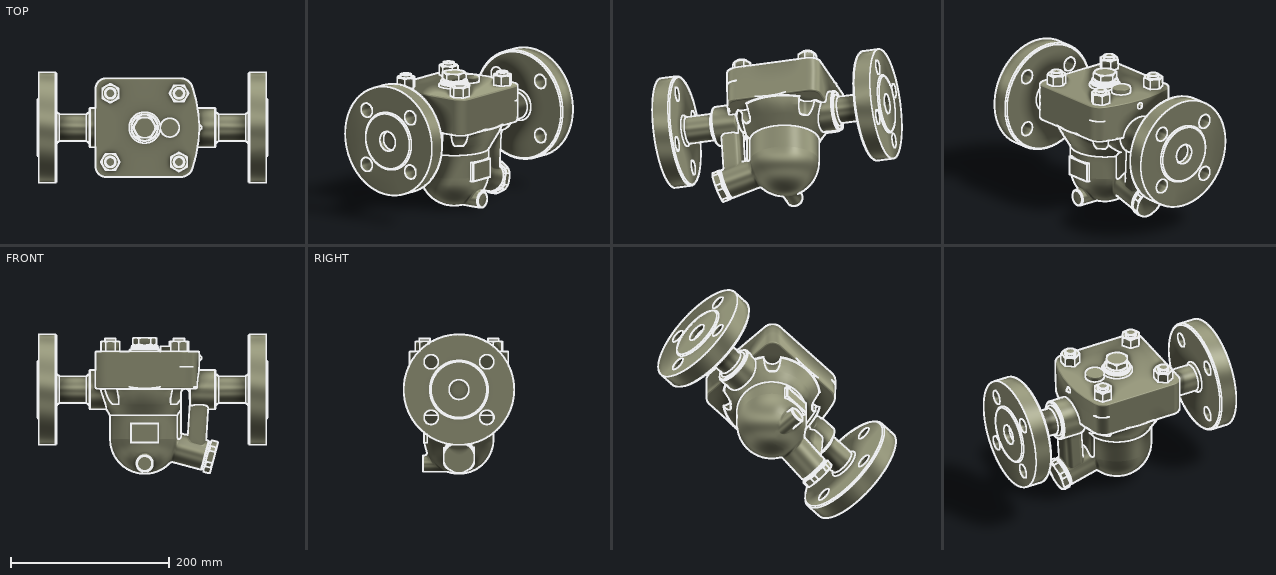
import cadquery as cq
import math

BODY_X = -10.0

HALF_LENGTH = 145.5
FLANGE_D = 140.0
FLANGE_BACK_X = 121.0
FLANGE_CHAMFER = 1.7
RAISED_FACE_H = 1.7
RAISED_FACE_TOP_D = 70.5
RAISED_FACE_BASE_D = 74.0
PIPE_D = 34.0
WELD_D = 40.0
WELD_LENGTH = 3.5
BOSS_D = 50.0
BOSS_END_X = 80.0
BOSS_CHAMFER = 1.5
BORE_D = 25.0
BORE_DEPTH = 7.5
BOLT_HOLE_D = 18.0
BOLT_CIRCLE_D = 99.2
LEFT_BOSS_INNER_X = -40.7
RIGHT_BOSS_INNER_X = 47.7
BOSS_INNER_R = 3.0

BLOCK_LEFT_X = -72.2
BLOCK_RIGHT_X = 59.0
BLOCK_WIDTH = 125.0
BLOCK_BOTTOM_Z = 1.2
PARTING_Z = 29.0
BLOCK_TOP_Z = 48.3
CROWN_R = 160.0
CROWN_TAPER = 1.0
LEFT_CORNER_R = 14.0
RIGHT_CORNER_R = 16.5
BLOCK_TOP_EDGE_R = 1.7
BLOCK_BOTTOM_EDGE_R = 2.3

STUD_OFFSET = 43.5
STUD_D = 14.0
STUD_TIP_D = 12.0
STUD_TOP_Z = 65.0
NUT_AF = 21.0
NUT_TOP_Z = 61.0
CLEARANCE_R = 10.8

PLUG_AF = 26.2
PLUG_TOP_Z = 65.8
PLUG_BOTTOM_Z = 56.2
PLUG_NECK_D = 25.0
COLLAR_D = 33.0
COLLAR_TOP_Z = 55.3
GASKET_D = 34.0
GASKET_TOP_Z = 53.5
GASKET_H = 1.2
SEAT_D = 34.0
SEAT_TOP_Z = 51.2
SEAT_FILLET_R = 2.5

PAD_OFFSET = 31.7
PAD_D = 24.0
PAD_TOP_Z = 55.0
PAD_EDGE_R = 1.5
NUB_Z = 40.2
NUB_D = 8.5
NUB_TIP_D = 1.7
NUB_TIP_X = 62.3
NUB_CONE_LENGTH = 3.5
NUB_ROOT_LENGTH = 3.0

BOWL_R = 44.0
BOWL_CENTER_Z = -62.5
SHOULDER_BOTTOM_Z = -32.5
NECK_SPHERE_R = 63.5
NECK_SPHERE_Z = 17.5
NECK_BOTTOM_Z = -18.5
NECK_TOP_Z = 0.5
LIP_R = 66.0
LIP_TOP_Z = 3.8
LIP_INSET = 2.3

LABEL_WIDTH = 35.0
LABEL_TOP_Z = -42.8
LABEL_HEIGHT = 24.5
LABEL_FACE_Y = -44.5
LABEL_EDGE = 0.5
DRAIN_D = 21.0
DRAIN_Z = -93.5
DRAIN_FACE_Y = -46.0
DRAIN_CHAMFER = 1.2
DRAIN_BLEND_R = 3.0

BRANCH_ANGLE = 15.0
BRANCH_D = 38.0
BRANCH_LENGTH = 79.5
BRANCH_CHAMFER = 1.0
BRANCH_BLEND_R = 4.0
CAP_NECK_D = 34.0
CAP_START = 81.8
CAP_END = 90.8
CAP_AF = 39.0
CAP_D = 41.5
CAP_CHAMFER = 1.0

DUCT_LENGTH_X = 24.0
DUCT_WIDTH_Y = 31.7
DUCT_CORNER_R = 7.0
DUCT_TOP_X = 60.0
DUCT_LEAN_ANGLE = 3.5
DUCT_HEIGHT = 75.7
WEB_CORNER_R = 4.5
DUCT_BLEND_R = 2.0
GAP_LEFT_X = 36.0
GAP_WIDTH = 10.5
GAP_TOP_Z = 1.0
GAP_BOTTOM_Z = -55.0


def cylinder_z(diameter, x, y, bottom, top):
    return cq.Workplane("XY", origin=(x, y, bottom)).circle(diameter / 2).extrude(top - bottom)


def hexagon(across_flats, height, turn=0):
    """Hexagonal prism from Z = 0, with corners on the X axis when turn is 0."""
    across_corners = across_flats / math.cos(math.radians(30))
    prism = cq.Workplane("XY").polygon(6, across_corners).extrude(height)
    return prism.rotate((0, 0, 0), (0, 0, 1), turn)


def chamfered_cylinder(diameter, height, end_diameter, chamfer_bottom):
    """Cylinder from Z = 0 whose ends taper at 30 degrees down to end_diameter."""
    taper = (diameter - end_diameter) / 2 * math.tan(math.radians(30))
    profile = cq.Workplane("XZ")
    if chamfer_bottom:
        profile = profile.lineTo(end_diameter / 2, 0).lineTo(diameter / 2, taper)
    else:
        profile = profile.lineTo(diameter / 2, 0)
    profile = profile.lineTo(diameter / 2, height - taper).lineTo(end_diameter / 2, height)
    return profile.lineTo(0, height).close().revolve(360, (0, 0, 0), (0, 1, 0))


def hex_head(across_flats, height, turn=0, chamfer_bottom=False):
    """Hexagonal head from Z = 0 with its corners bevelled at the top and, if asked, the bottom."""
    across_corners = across_flats / math.cos(math.radians(30))
    bevel = chamfered_cylinder(across_corners, height, across_flats, chamfer_bottom)
    return hexagon(across_flats, height, turn).intersect(bevel)


def flanged_end(boss_inner_x):
    """Flange, pipe and boss on the +X side, revolved about the X axis."""
    flange_face_x = HALF_LENGTH - RAISED_FACE_H
    flange_r = FLANGE_D / 2
    points = [
        (boss_inner_x, 0),
        (boss_inner_x, BOSS_D / 2),
        (BOSS_END_X - BOSS_CHAMFER, BOSS_D / 2),
        (BOSS_END_X, BOSS_D / 2 - BOSS_CHAMFER),
        (BOSS_END_X, WELD_D / 2),
        (BOSS_END_X + WELD_LENGTH, PIPE_D / 2),
        (FLANGE_BACK_X - WELD_LENGTH, PIPE_D / 2),
        (FLANGE_BACK_X, WELD_D / 2),
        (FLANGE_BACK_X, flange_r - FLANGE_CHAMFER),
        (FLANGE_BACK_X + FLANGE_CHAMFER, flange_r),
        (flange_face_x, flange_r),
        (flange_face_x, RAISED_FACE_BASE_D / 2),
        (HALF_LENGTH, RAISED_FACE_TOP_D / 2),
        (HALF_LENGTH, BORE_D / 2),
        (HALF_LENGTH - BORE_DEPTH, BORE_D / 2),
        (HALF_LENGTH - BORE_DEPTH, 0),
    ]
    end = cq.Workplane("XY").polyline(points).close().revolve(360, (0, 0, 0), (1, 0, 0))
    bolt_holes = (
        cq.Workplane("YZ", origin=(FLANGE_BACK_X, 0, 0))
        .polarArray(BOLT_CIRCLE_D / 2, 45, 360, 4)
        .circle(BOLT_HOLE_D / 2)
        .extrude(HALF_LENGTH - FLANGE_BACK_X)
    )
    return end.cut(bolt_holes)


def block_part(bottom, top, bottom_taper):
    """Rounded block with a crowned right side that leans in by bottom_taper at its bottom."""
    height = top - bottom
    length = BLOCK_RIGHT_X - BLOCK_LEFT_X
    prism = (
        cq.Workplane("XY", origin=(BLOCK_LEFT_X + length / 2, 0, bottom))
        .rect(length, BLOCK_WIDTH)
        .extrude(height)
        .edges("|Z and <X")
        .fillet(LEFT_CORNER_R)
    )
    crown_x = BLOCK_RIGHT_X - CROWN_R
    crown = (
        cq.Workplane("XZ", origin=(crown_x, 0, bottom))
        .lineTo(CROWN_R - bottom_taper, 0)
        .lineTo(CROWN_R, height)
        .lineTo(0, height)
        .close()
        .revolve(360, (0, 0, 0), (0, 1, 0))
        .rotate((crown_x, 0, 0), (crown_x, 0, 1), 180)
    )
    right_corners = cq.selectors.BoxSelector(
        (BLOCK_RIGHT_X - LEFT_CORNER_R, -BLOCK_WIDTH, bottom + height / 4),
        (BLOCK_RIGHT_X, BLOCK_WIDTH, top - height / 4),
    )
    return prism.intersect(crown).edges(right_corners).fillet(RIGHT_CORNER_R)


def cover_block():
    cover = block_part(PARTING_Z, BLOCK_TOP_Z, 0).faces(">Z").edges().fillet(BLOCK_TOP_EDGE_R)
    base = block_part(BLOCK_BOTTOM_Z, PARTING_Z, CROWN_TAPER)
    base = base.faces("<Z").edges().fillet(BLOCK_BOTTOM_EDGE_R)
    return cover.union(base, clean=False)


def bowl():
    """Domed bowl, conical shoulder and spherical neck with a lip under the block."""

    def neck_r(z):
        return math.sqrt(NECK_SPHERE_R**2 - (z - NECK_SPHERE_Z) ** 2)

    neck_mid_z = (NECK_BOTTOM_Z + NECK_TOP_Z) / 2
    dome_mid = BOWL_R * math.sqrt(0.5)
    shell = (
        cq.Workplane("XZ", origin=(BODY_X, 0, 0))
        .moveTo(0, BOWL_CENTER_Z - BOWL_R)
        .threePointArc((dome_mid, BOWL_CENTER_Z - dome_mid), (BOWL_R, BOWL_CENTER_Z))
        .lineTo(BOWL_R, SHOULDER_BOTTOM_Z)
        .lineTo(neck_r(NECK_BOTTOM_Z), NECK_BOTTOM_Z)
        .threePointArc((neck_r(neck_mid_z), neck_mid_z), (neck_r(NECK_TOP_Z), NECK_TOP_Z))
        .lineTo(LIP_R, LIP_TOP_Z)
        .lineTo(0, LIP_TOP_Z)
        .close()
        .revolve(360, (0, 0, 0), (0, 1, 0))
    )
    block_footprint = (
        cq.Workplane("XY", origin=((BLOCK_LEFT_X + BLOCK_RIGHT_X) / 2, 0, LIP_TOP_Z))
        .rect(BLOCK_RIGHT_X - BLOCK_LEFT_X - 2 * LIP_INSET, BLOCK_WIDTH)
        .extrude(BOWL_CENTER_Z - BOWL_R - LIP_TOP_Z)
    )
    return shell.intersect(block_footprint)


def stud_places():
    """Stud centres with the turn of each nut; neighbouring nuts are turned by 30 degrees."""
    for side_x in (-1, 1):
        for side_y in (-1, 1):
            turn = 0 if side_x == side_y else 30
            yield BODY_X + side_x * STUD_OFFSET, side_y * STUD_OFFSET, turn


def studs_and_nuts():
    fasteners = cq.Workplane("XY")
    stud = chamfered_cylinder(STUD_D, STUD_TOP_Z - PARTING_Z, STUD_TIP_D, False)
    for x, y, turn in stud_places():
        nut = hex_head(NUT_AF, NUT_TOP_Z - BLOCK_TOP_Z, turn)
        fasteners = fasteners.union(stud.translate((x, y, PARTING_Z)))
        fasteners = fasteners.union(nut.translate((x, y, BLOCK_TOP_Z)))
    return fasteners


def stud_clearances():
    """Vertical scallops in the neck below each stud."""
    scallops = cq.Workplane("XY")
    for x, y, _ in stud_places():
        scallops = scallops.union(
            cylinder_z(2 * CLEARANCE_R, x, y, NECK_BOTTOM_Z, LIP_TOP_Z)
        )
    return scallops


def top_plug():
    gasket_bottom = GASKET_TOP_Z - GASKET_H
    seat_r = SEAT_D / 2
    seat = (
        cq.Workplane("XZ", origin=(BODY_X, 0, 0))
        .moveTo(0, BLOCK_TOP_Z)
        .lineTo(seat_r + SEAT_FILLET_R, BLOCK_TOP_Z)
        .radiusArc((seat_r, BLOCK_TOP_Z + SEAT_FILLET_R), -SEAT_FILLET_R)
        .lineTo(seat_r, SEAT_TOP_Z)
        .lineTo(0, SEAT_TOP_Z)
        .close()
        .revolve(360, (0, 0, 0), (0, 1, 0))
    )
    collar = cylinder_z(COLLAR_D, BODY_X, 0, SEAT_TOP_Z, COLLAR_TOP_Z)
    gasket = cylinder_z(GASKET_D, BODY_X, 0, gasket_bottom, GASKET_TOP_Z)
    neck = cylinder_z(PLUG_NECK_D, BODY_X, 0, COLLAR_TOP_Z, PLUG_BOTTOM_Z)
    head = hex_head(PLUG_AF, PLUG_TOP_Z - PLUG_BOTTOM_Z, chamfer_bottom=True)
    head = head.translate((BODY_X, 0, PLUG_BOTTOM_Z))
    return seat.union(collar).union(gasket).union(neck).union(head)


def round_pad():
    pad = cylinder_z(PAD_D, BODY_X + PAD_OFFSET, 0, BLOCK_TOP_Z, PAD_TOP_Z)
    return pad.faces(">Z").edges().fillet(PAD_EDGE_R)


def side_nub():
    cone_x = NUB_TIP_X - NUB_CONE_LENGTH
    root_x = cone_x - NUB_ROOT_LENGTH
    return (
        cq.Workplane("XZ", origin=(0, 0, NUB_Z))
        .moveTo(root_x, 0)
        .lineTo(root_x, NUB_D / 2)
        .lineTo(cone_x, NUB_D / 2)
        .lineTo(NUB_TIP_X, NUB_TIP_D / 2)
        .lineTo(NUB_TIP_X, 0)
        .close()
        .revolve(360, (0, 0, 0), (1, 0, 0))
    )


def label_plate():
    plate = (
        cq.Workplane("XZ", origin=(BODY_X, 0, LABEL_TOP_Z - LABEL_HEIGHT / 2))
        .rect(LABEL_WIDTH, LABEL_HEIGHT)
        .extrude(-LABEL_FACE_Y)
    )
    return plate.faces("<Y").edges().chamfer(LABEL_EDGE)


def drain_plug():
    plug = cq.Workplane("XZ", origin=(BODY_X, 0, DRAIN_Z)).circle(DRAIN_D / 2).extrude(-DRAIN_FACE_Y)
    return plug.faces("<Y").edges().chamfer(DRAIN_CHAMFER)


def along_branch(solid):
    """Turn a solid built along +Z onto the branch axis, which starts at the dome centre."""
    tilted = solid.rotate((0, 0, 0), (0, 1, 0), 90 + BRANCH_ANGLE)
    return tilted.translate((BODY_X, 0, BOWL_CENTER_Z))


def branch_pipe():
    pipe = cylinder_z(BRANCH_D, 0, 0, 0, BRANCH_LENGTH)
    return along_branch(pipe.faces(">Z").edges().chamfer(BRANCH_CHAMFER))


def branch_cap():
    neck = cylinder_z(CAP_NECK_D, 0, 0, 0, CAP_START)
    height = CAP_END - CAP_START
    rounded = cq.Workplane("XY").circle(CAP_D / 2).extrude(height).edges().chamfer(CAP_CHAMFER)
    head = hexagon(CAP_AF, height).intersect(rounded).translate((0, 0, CAP_START))
    return along_branch(neck.union(head))


def duct():
    """Rounded rectangular duct from the outlet boss down into the branch."""
    prism = (
        cq.Workplane("XY")
        .rect(DUCT_LENGTH_X, DUCT_WIDTH_Y)
        .extrude(-DUCT_HEIGHT)
        .edges("|Z")
        .fillet(DUCT_CORNER_R)
    )
    return prism.rotate((0, 0, 0), (0, 1, 0), DUCT_LEAN_ANGLE).translate((DUCT_TOP_X, 0, 0))


def web():
    """Round-edged rib on the bowl, as wide as the duct it faces."""
    length = GAP_LEFT_X - BODY_X
    height = NECK_BOTTOM_Z - BOWL_CENTER_Z
    rib = cq.Workplane("XY").box(length, DUCT_WIDTH_Y, height, centered=(False, True, False))
    return rib.edges("|Z and >X").fillet(WEB_CORNER_R).translate((BODY_X, 0, BOWL_CENTER_Z))


def gap():
    """Round-topped opening through the body between the bowl and the duct."""
    radius = GAP_WIDTH / 2
    right_x = GAP_LEFT_X + GAP_WIDTH
    return (
        cq.Workplane("XZ")
        .moveTo(GAP_LEFT_X, GAP_BOTTOM_Z)
        .lineTo(GAP_LEFT_X, GAP_TOP_Z - radius)
        .threePointArc((GAP_LEFT_X + radius, GAP_TOP_Z), (right_x, GAP_TOP_Z - radius))
        .lineTo(right_x, GAP_BOTTOM_Z)
        .close()
        .extrude(BLOCK_WIDTH / 2, both=True)
    )


def blended_duct():
    """Duct and branch joined with a small fillet around the foot of the duct."""
    joined = branch_pipe().union(duct())
    return joined.edges("%BSPLINE or %ELLIPSE").fillet(DUCT_BLEND_R)


def lower_body():
    """Bowl with its neck openings, rib, label plate, drain plug, branch and duct."""
    body = bowl().union(drain_plug())
    body = body.edges("%BSPLINE").fillet(DRAIN_BLEND_R)

    body = body.union(branch_pipe())
    branch_root = cq.selectors.BoxSelector(
        (BODY_X + BRANCH_D / 2, -BRANCH_D, BOWL_CENTER_Z - BOWL_R),
        (BODY_X + BOWL_R + BRANCH_D / 2, BRANCH_D, SHOULDER_BOTTOM_Z),
    )
    body = body.edges(cq.selectors.AndSelector(branch_root, cq.StringSyntaxSelector("%BSPLINE")))
    body = body.fillet(BRANCH_BLEND_R)

    body = body.union(web()).cut(stud_clearances()).cut(gap()).union(label_plate())
    return body.union(blended_duct())


inlet = flanged_end(-LEFT_BOSS_INNER_X).mirror("YZ")
outlet = flanged_end(RIGHT_BOSS_INNER_X)
outlet = outlet.faces("<X").edges().fillet(BOSS_INNER_R)

result = cover_block()
for feature in (
    lower_body(),
    inlet,
    outlet,
    branch_cap(),
    studs_and_nuts(),
    top_plug(),
    round_pad(),
    side_nub(),
):
    result = result.union(feature, clean=False)